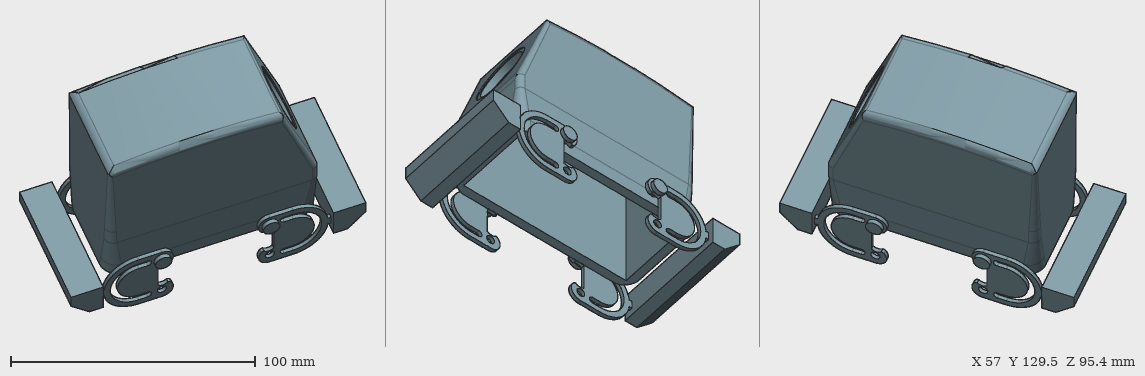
import cadquery as cq
import math

WALL = 4.0

BASE_SECTION = (0.0, 22.2, 7.8, 7.2)
SKIRT_SECTION = (6.75, 22.4, 6.5, 6.0)
SHOULDER_SECTION = (23.4, 22.8, 4.1, 3.0)
BEND_SECTION = (31.2, 22.8, 3.7, 3.0)
CROWN_SECTION = (80.0, 22.8, 1.2, 1.7)
SECTIONS = (BASE_SECTION, SKIRT_SECTION, SHOULDER_SECTION, BEND_SECTION, CROWN_SECTION)
SHOULDER_Z = SHOULDER_SECTION[0]
HOOD_HALF_X = SHOULDER_SECTION[1]

BACK_Y = 46.5
FRONT_Y = -46.75
FRONT_DRAFT = 0.0135
SLOPE_BOTTOM_Z = BEND_SECTION[0]
SLOPE_TOP_Y = 31.0
SLOPE_TOP_Z = 73.6
ROOF_MID_Y = -6.6
ROOF_MID_Z = 75.57
ROOF_FRONT_Z = 72.7

BEND_R = 12.0
SLOPE_EDGE_R = 1.5
ROOF_SIDE_R = 3.2
ROOF_FRONT_R = 4.9

SLOPE_RUN = BACK_Y - SLOPE_TOP_Y
SLOPE_RISE = SLOPE_TOP_Z - SLOPE_BOTTOM_Z

ENTRY_Y = 38.0
ENTRY_D = 25.0
ENTRY_SEAT_D = 29.0
ENTRY_SEAT_DEPTH = 0.5

LEVER_Z = -4.4
LEVER_IN_X = 24.0
LEVER_OUT_X = 25.8
LEVER_R = 15.4
LEVER_BEND_Y = 33.9
LEVER_EDGE_Y = 25.4
SLOT_OUT_R = 12.5
SLOT_IN_R = 9.3
SLOT_END_Y = 28.3

HOOK_R = 5.0
HOOK_Y = 23.7
HOOK_OFFSET = LEVER_R - HOOK_R
HOOK_TIP_R = 1.6
HOOK_TIP_ANGLE = 140.0
HOOK_HOLE_D = 4.0
NECK_DIP = 2.9
NECK_TOP = 3.8

PIN_D = 3.6
PIN_HEAD_D = 7.2
PIN_HEAD_X = 27.75
PIN_ROOT_X = 20.0

ARM_HEIGHT = 4.0
BAR_LENGTH = 57.0
BAR_SIZE = 14.2
BAR_CHAMFER = 8.0
OVERALL_LENGTH = 129.5
BAR_OUT_Y = OVERALL_LENGTH / 2
BAR_TOP_Z = 4.0


def back_at(z):
    """Y of the back wall at height z: upright below the bend, sloped above it."""
    return BACK_Y - max(0, z - SLOPE_BOTTOM_Z) * SLOPE_RUN / SLOPE_RISE


def corner_block(lower, upper):
    """Loft between two plan sections, from the drafted front wall to the back wall."""
    arc_inset = 1 - math.sqrt(0.5)
    wires = []
    for z, half_x, front_r, back_r in (lower, upper):
        front = -FRONT_Y - FRONT_DRAFT * z
        back = back_at(z)
        front_mid = (half_x - front_r * arc_inset, -front + front_r * arc_inset)
        back_mid = (half_x - back_r * arc_inset, back - back_r * arc_inset)
        outline = (
            cq.Workplane("XY", origin=(0, 0, z))
            .moveTo(front_r - half_x, -front)
            .lineTo(half_x - front_r, -front)
            .threePointArc(front_mid, (half_x, front_r - front))
            .lineTo(half_x, back - back_r)
            .threePointArc(back_mid, (half_x - back_r, back))
            .lineTo(back_r - half_x, back)
            .threePointArc((-back_mid[0], back_mid[1]), (-half_x, back - back_r))
            .lineTo(-half_x, front_r - front)
            .threePointArc((-front_mid[0], front_mid[1]), (front_r - half_x, -front))
            .close()
        )
        wires.append(outline.val())
    return cq.Workplane(cq.Solid.makeLoft(wires, True))


def hood_side(bottom_z):
    """Side outline of the hood with sharp corners, standing on bottom_z."""
    return (
        cq.Workplane("YZ")
        .moveTo(FRONT_Y, bottom_z)
        .lineTo(BACK_Y, bottom_z)
        .lineTo(BACK_Y, SLOPE_BOTTOM_Z)
        .lineTo(SLOPE_TOP_Y, SLOPE_TOP_Z)
        .threePointArc((ROOF_MID_Y, ROOF_MID_Z), (FRONT_Y, ROOF_FRONT_Z))
        .close()
    )


def across(y, z):
    """Selector of the crosswise edge nearest to (y, z)."""
    return cq.selectors.NearestToPointSelector((0, y, z))


def rounded_side_block():
    """Hood outline across the full width, crosswise edges rounded."""
    block = hood_side(SHOULDER_Z).extrude(HOOD_HALF_X, both=True)
    block = block.edges(across(BACK_Y, SLOPE_BOTTOM_Z)).fillet(BEND_R)
    block = block.edges(across(SLOPE_TOP_Y, SLOPE_TOP_Z)).fillet(SLOPE_EDGE_R)
    return block.edges(across(FRONT_Y, ROOF_FRONT_Z)).fillet(ROOF_FRONT_R)


def roof_block():
    """Block under the arched roof, both long roof edges rounded."""
    block = (
        cq.Workplane("YZ")
        .moveTo(FRONT_Y, 0)
        .lineTo(SLOPE_TOP_Y, 0)
        .lineTo(SLOPE_TOP_Y, SLOPE_TOP_Z)
        .threePointArc((ROOF_MID_Y, ROOF_MID_Z), (FRONT_Y, ROOF_FRONT_Z))
        .close()
        .extrude(HOOD_HALF_X, both=True)
    )
    block = block.edges("%CIRCLE").fillet(ROOF_SIDE_R)
    behind = cq.Workplane("XY").box(
        2 * HOOD_HALF_X, SLOPE_RUN, SLOPE_TOP_Z, centered=(True, False, False)
    )
    return block.union(behind.translate((0, SLOPE_TOP_Y, 0)))


def make_hood():
    """Hollow hood, open at the bottom."""
    skirt, flare, trunk, crown = (corner_block(*pair) for pair in zip(SECTIONS, SECTIONS[1:]))
    top = trunk.union(crown).intersect(rounded_side_block()).intersect(roof_block())
    hood = top.union(flare).union(skirt)
    inner_half_x = BASE_SECTION[1] - WALL
    cavity = hood_side(-WALL).offset2D(-WALL, "intersection").extrude(inner_half_x, both=True)
    return hood.cut(cavity)


def entry_hole():
    """Stepped round opening square to the sloped wall."""
    entry_z = SLOPE_BOTTOM_Z + (BACK_Y - ENTRY_Y) * SLOPE_RISE / SLOPE_RUN
    face = cq.Plane(origin=(0, ENTRY_Y, entry_z), xDir=(1, 0, 0), normal=(0, SLOPE_RISE, SLOPE_RUN))
    seat = cq.Workplane(face).circle(ENTRY_SEAT_D / 2).extrude(-ENTRY_SEAT_DEPTH)
    bore = cq.Workplane(face).circle(ENTRY_D / 2).extrude(-2 * WALL)
    return seat.union(bore)


def lever_plate():
    """Flat lever on the +X +Y side: rounded outer end and a hook at top and bottom."""
    top_z = LEVER_Z + LEVER_R
    bottom_z = LEVER_Z - LEVER_R
    hook_z = LEVER_Z - HOOK_OFFSET
    tip_angle = math.radians(HOOK_TIP_ANGLE)
    tip_reach = HOOK_R - HOOK_TIP_R
    tip_y = HOOK_Y + tip_reach * math.cos(tip_angle)
    tip_z = tip_reach * math.sin(tip_angle)
    tip_start = (HOOK_Y + HOOK_R * math.cos(tip_angle), HOOK_R * math.sin(tip_angle))
    tip_mid_angle = (tip_angle + math.pi / 2) / 2
    tip_mid = (tip_y + HOOK_TIP_R * math.cos(tip_mid_angle), tip_z + HOOK_TIP_R * math.sin(tip_mid_angle))
    tip_end = (tip_y, tip_z + HOOK_TIP_R)

    def low(point):
        return (point[0], hook_z + point[1])

    def high(point):
        return (point[0], LEVER_Z + HOOK_OFFSET - point[1])

    dip = (HOOK_Y, NECK_DIP)
    neck = (LEVER_EDGE_Y, NECK_TOP)
    side = (HOOK_Y - HOOK_R, 0)
    return (
        cq.Workplane("YZ", origin=(LEVER_IN_X, 0, 0))
        .moveTo(HOOK_Y, bottom_z)
        .lineTo(LEVER_BEND_Y, bottom_z)
        .threePointArc((LEVER_BEND_Y + LEVER_R, LEVER_Z), (LEVER_BEND_Y, top_z))
        .lineTo(HOOK_Y, top_z)
        .threePointArc(high(side), high(tip_start))
        .threePointArc(high(tip_mid), high(tip_end))
        .threePointArc(high(dip), high(neck))
        .lineTo(*low(neck))
        .threePointArc(low(dip), low(tip_end))
        .threePointArc(low(tip_mid), low(tip_start))
        .threePointArc(low(side), (HOOK_Y, bottom_z))
        .close()
        .extrude(LEVER_OUT_X - LEVER_IN_X)
    )


def lever_slot():
    """C-shaped slot that follows the outer edge of the lever."""
    mid_r = (SLOT_OUT_R + SLOT_IN_R) / 2
    end_r = (SLOT_OUT_R - SLOT_IN_R) / 2
    straight_y = SLOT_END_Y + end_r
    return (
        cq.Workplane("YZ", origin=(LEVER_IN_X, 0, 0))
        .moveTo(straight_y, LEVER_Z - SLOT_OUT_R)
        .lineTo(LEVER_BEND_Y, LEVER_Z - SLOT_OUT_R)
        .threePointArc((LEVER_BEND_Y + SLOT_OUT_R, LEVER_Z), (LEVER_BEND_Y, LEVER_Z + SLOT_OUT_R))
        .lineTo(straight_y, LEVER_Z + SLOT_OUT_R)
        .threePointArc((SLOT_END_Y, LEVER_Z + mid_r), (straight_y, LEVER_Z + SLOT_IN_R))
        .lineTo(LEVER_BEND_Y, LEVER_Z + SLOT_IN_R)
        .threePointArc((LEVER_BEND_Y + SLOT_IN_R, LEVER_Z), (LEVER_BEND_Y, LEVER_Z - SLOT_IN_R))
        .lineTo(straight_y, LEVER_Z - SLOT_IN_R)
        .threePointArc((SLOT_END_Y, LEVER_Z - mid_r), (straight_y, LEVER_Z - SLOT_OUT_R))
        .close()
        .extrude(LEVER_OUT_X - LEVER_IN_X)
    )


def rod(x, z, diameter, length):
    """Round rod along X at the hook, starting at x."""
    return cq.Workplane("YZ", origin=(x, HOOK_Y, z)).circle(diameter / 2).extrude(length)


def make_lever():
    """Lever, pivot pin and bar arm on the +X +Y side."""
    thickness = LEVER_OUT_X - LEVER_IN_X
    pin_z = LEVER_Z + HOOK_OFFSET
    lever = lever_plate().cut(lever_slot())
    lever = lever.cut(rod(LEVER_IN_X, LEVER_Z - HOOK_OFFSET, HOOK_HOLE_D, thickness))
    pin = rod(PIN_ROOT_X, pin_z, PIN_D, LEVER_OUT_X - PIN_ROOT_X)
    head = rod(LEVER_OUT_X, pin_z, PIN_HEAD_D, PIN_HEAD_X - LEVER_OUT_X)
    arm_start = LEVER_BEND_Y + (SLOT_OUT_R + LEVER_R) / 2
    arm_end = BAR_OUT_Y - BAR_SIZE
    arm = cq.Workplane("XY").box(
        thickness, arm_end - arm_start, ARM_HEIGHT, centered=(False, False, True)
    )
    return lever.union(pin).union(head).union(arm.translate((LEVER_IN_X, arm_start, LEVER_Z)))


def make_bar():
    """Handle bar on the +Y side, chamfered along its lower outer edge."""
    bar = cq.Workplane("XY").box(BAR_LENGTH, BAR_SIZE, BAR_SIZE)
    bar = bar.edges(">Y and <Z").chamfer(BAR_CHAMFER)
    return bar.translate((0, BAR_OUT_Y - BAR_SIZE / 2, BAR_TOP_Z - BAR_SIZE / 2))


def make_handle():
    """Bar carried by a lever at each end, on the +Y side."""
    lever = make_lever()
    return make_bar().union(lever).union(lever.mirror("YZ"))


handle = make_handle()
result = make_hood().cut(entry_hole()).union(handle).union(handle.mirror("XZ"))